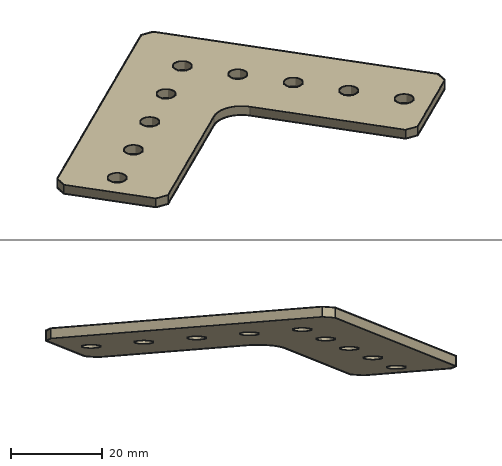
import cadquery as cq

side = 69.6
thickness = 2.3
arm_width = 25.4
corner_chamfer = 2.15
inner_radius = 6.3
hole_diameter = 4.2
hole_inset = 12.5
hole_pitch = arm_width / 2
holes_per_arm = 5


def make_plate():
    """L-shaped plate with its outer corner at the top left."""
    inner_y = side - arm_width
    outline = [
        (0, 0),
        (arm_width, 0),
        (arm_width, inner_y),
        (side, inner_y),
        (side, side),
        (0, side),
    ]
    plate = cq.Workplane("XY").polyline(outline).close().extrude(thickness)
    inner_corner = cq.selectors.NearestToPointSelector((arm_width, inner_y, thickness / 2))
    outer_corners = plate.edges("|Z").edges(cq.selectors.InverseSelector(inner_corner))
    plate = outer_corners.chamfer(corner_chamfer)
    return plate.edges("|Z").edges(inner_corner).fillet(inner_radius)


def hole_centers():
    """One row along each arm, sharing the hole at the outer corner."""
    row_y = side - hole_inset
    along_x = [(hole_inset + i * hole_pitch, row_y) for i in range(holes_per_arm)]
    along_y = [(hole_inset, row_y - i * hole_pitch) for i in range(1, holes_per_arm)]
    return along_x + along_y


holes = cq.Workplane("XY").pushPoints(hole_centers()).circle(hole_diameter / 2).extrude(thickness)
result = make_plate().cut(holes)